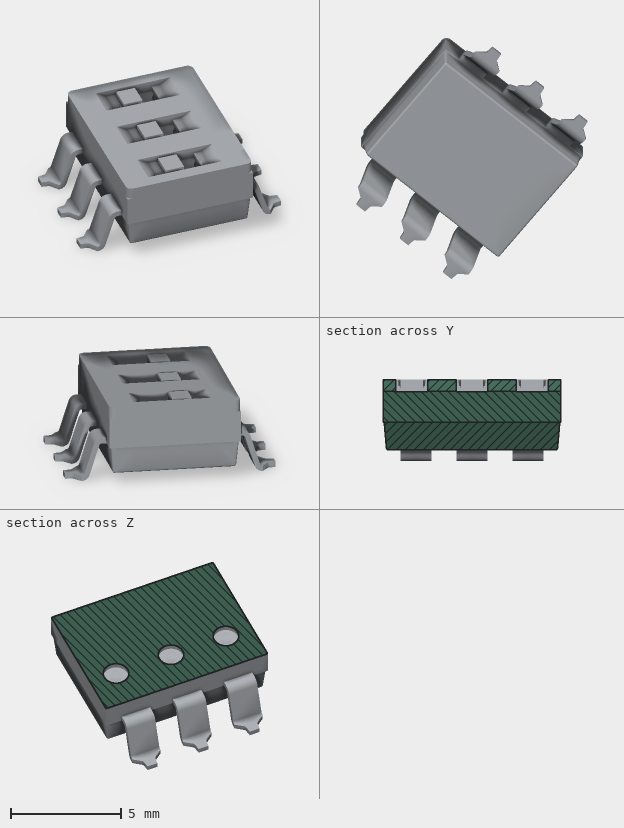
import cadquery as cq
import math


body_length_x = 8.06
body_width_y = 6.05
overall_height = 3.7
lead_span_y = 9.7

cap_height = 0.55
block_height = 1.41
base_height = 1.24
cap_corner_radius = 0.27

base_inset_x = 0.04
base_inset_y = 0.08
base_draft_deg = 5.0
base_edge_radius = 0.1

switch_count = 3
switch_pitch = 2.74
well_width = 1.42
well_length = 3.62
well_ramp_run = 0.52
well_ledge_depth = 0.3
slot_length = 1.79

knob_width = 1.02
pocket_radius = 0.57
pocket_depth = 0.485
pocket_offset = 0.37

lead_pitch = 2.54
lead_width = 1.41
lead_thickness = 0.25
lead_lean_deg = 18.0
lead_inner_bend_radius = 0.13
lead_top_bend_start = 3.24
lead_embed = 0.58
foot_shoulder_y = 4.18
foot_neck_y = 4.49
foot_neck_width = 0.58
foot_neck_radius = 0.12
foot_tip_width = 0.485

cap_bottom = overall_height - cap_height
block_bottom = cap_bottom - block_height

knob_length = slot_length / 2
pocket_centre_y = slot_length / 2 + pocket_offset

lead_root_y = body_width_y / 2 - lead_embed
lead_tip_y = lead_span_y / 2
lead_outer_bend_radius = lead_inner_bend_radius + lead_thickness


def centred_positions(count, pitch):
    """Coordinates of evenly pitched items centred on zero."""
    return [(i - (count - 1) / 2) * pitch for i in range(count)]


switch_positions = centred_positions(switch_count, switch_pitch)
lead_positions = centred_positions(switch_count, lead_pitch)


def well_cutter(x):
    """Well with ramped ends, a ledge at each end and a slot through the cap."""
    half_top = well_length / 2
    half_ledge = half_top - well_ramp_run
    ledge_z = overall_height - well_ledge_depth
    ramped = (
        cq.Workplane("YZ", origin=(x - well_width / 2, 0, 0))
        .polyline([
            (-half_top, overall_height),
            (half_top, overall_height),
            (half_ledge, ledge_z),
            (-half_ledge, ledge_z),
        ])
        .close()
        .extrude(well_width)
    )
    slot = (
        cq.Workplane("XY", origin=(x, 0, cap_bottom))
        .rect(well_width, slot_length)
        .extrude(cap_height)
    )
    return ramped.union(slot)


def make_cap():
    cap = (
        cq.Workplane("XY", origin=(0, 0, cap_bottom))
        .rect(body_length_x, body_width_y)
        .extrude(cap_height)
        .edges("|Z")
        .fillet(cap_corner_radius)
    )
    for x in switch_positions:
        cap = cap.cut(well_cutter(x))
    return cap


def make_knob(x):
    """Knob at the OFF end of its slot, flush with the top of the cap."""
    return (
        cq.Workplane("XY", origin=(x, -knob_length / 2, cap_bottom))
        .rect(knob_width, knob_length)
        .extrude(cap_height)
    )


def make_lead(x):
    """Gull-wing lead on the +Y side: bent strip trimmed to its plan outline."""
    turn = math.radians(90 - lead_lean_deg)
    half_turn_tan = math.tan(turn / 2)
    top_z = block_bottom + lead_thickness

    upper_corner_y = lead_top_bend_start + lead_outer_bend_radius * half_turn_tan
    leg_run = (top_z - lead_thickness) * math.tan(math.radians(lead_lean_deg))
    lower_corner_y = upper_corner_y + leg_run
    corner_shift = lead_thickness * half_turn_tan

    strip = (
        cq.Workplane("YZ", origin=(x - lead_width / 2, 0, 0))
        .polyline([
            (lead_root_y, top_z),
            (upper_corner_y, top_z),
            (lower_corner_y, lead_thickness),
            (lead_tip_y, lead_thickness),
            (lead_tip_y, 0),
            (lower_corner_y - corner_shift, 0),
            (upper_corner_y - corner_shift, block_bottom),
            (lead_root_y, block_bottom),
        ])
        .close()
        .extrude(lead_width)
    )

    def bend_edge(y, z):
        """Selector for the cross-wise edge through (y, z)."""
        return cq.selectors.NearestToPointSelector((x, y, z))

    outer_bends = [(upper_corner_y, top_z), (lower_corner_y - corner_shift, 0)]
    inner_bends = [(upper_corner_y - corner_shift, block_bottom), (lower_corner_y, lead_thickness)]
    for y, z in outer_bends:
        strip = strip.edges(bend_edge(y, z)).fillet(lead_outer_bend_radius)
    for y, z in inner_bends:
        strip = strip.edges(bend_edge(y, z)).fillet(lead_inner_bend_radius)

    plan = (
        cq.Workplane("XY", origin=(x, 0, 0))
        .polyline([
            (-lead_width / 2, lead_root_y),
            (-lead_width / 2, foot_shoulder_y),
            (-foot_neck_width / 2, foot_neck_y),
            (-foot_tip_width / 2, lead_tip_y),
            (foot_tip_width / 2, lead_tip_y),
            (foot_neck_width / 2, foot_neck_y),
            (lead_width / 2, foot_shoulder_y),
            (lead_width / 2, lead_root_y),
        ])
        .close()
        .extrude(top_z)
    )
    for side in (-1, 1):
        neck_point = (x + side * foot_neck_width / 2, foot_neck_y, top_z / 2)
        plan = plan.edges(cq.selectors.NearestToPointSelector(neck_point)).fillet(foot_neck_radius)
    return strip.intersect(plan)


def make_all_leads():
    """A row of leads on the +Y side and its mirror image on the -Y side."""
    row = [make_lead(x) for x in lead_positions]
    return row + [lead.mirror("XZ") for lead in row]


def make_block(leads):
    """Middle block with a round pocket per switch and a notch around each lead."""
    block = (
        cq.Workplane("XY", origin=(0, 0, block_bottom))
        .rect(body_length_x, body_width_y)
        .extrude(block_height)
    )
    pockets = (
        cq.Workplane("XY", origin=(0, 0, cap_bottom))
        .pushPoints([(x, pocket_centre_y) for x in switch_positions])
        .circle(pocket_radius)
        .extrude(-pocket_depth)
    )
    block = block.cut(pockets)
    for lead in leads:
        block = block.cut(lead)
    return block


def make_base(leads):
    """Tapered base carrying the leads on its upper face."""
    base = (
        cq.Workplane("XY", origin=(0, 0, block_bottom))
        .rect(body_length_x - 2 * base_inset_x, body_width_y - 2 * base_inset_y)
        .extrude(-base_height, taper=base_draft_deg)
        .edges("not(>Z)")
        .fillet(base_edge_radius)
    )
    for lead in leads:
        base = base.union(lead)
    return base


all_leads = make_all_leads()
cap = make_cap()
block = make_block(all_leads)
base = make_base(all_leads)
knobs = [make_knob(x) for x in switch_positions]

result = cq.Compound.makeCompound([
    cap.val(),
    block.val(),
    base.val(),
    *[knob.val() for knob in knobs],
])